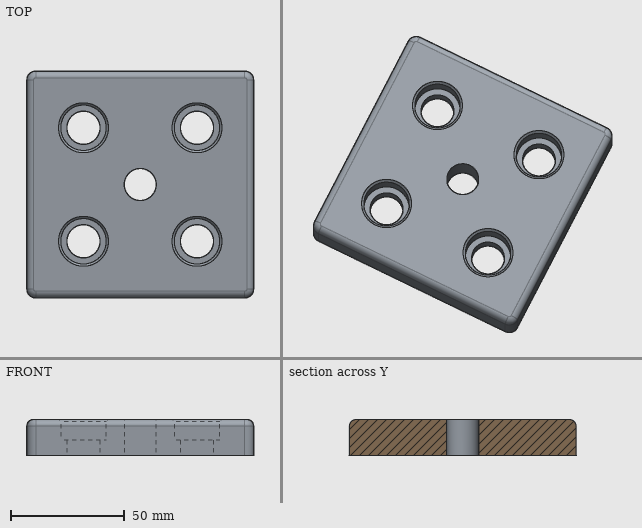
import cadquery as cq

side = 100
thickness = 16
corner_radius = 4
top_edge_radius = 3

center_hole_diameter = 14
bolt_spacing = 50
bolt_hole_diameter = 14.5
counterbore_diameter = 20
counterbore_depth = 9
rim_chamfer = 1


def make_plate():
    """Square plate with rounded corners and a rounded top edge, bottom at Z = 0."""
    plate = cq.Workplane("XY").box(side, side, thickness, centered=(True, True, False))
    plate = plate.edges("|Z").fillet(corner_radius)
    return plate.faces(">Z").edges().fillet(top_edge_radius)


def make_bolt_hole_cutter():
    """Through hole with a counterbore and chamfered rim, revolved about Z."""
    hole_radius = bolt_hole_diameter / 2
    counterbore_radius = counterbore_diameter / 2
    counterbore_floor = thickness - counterbore_depth
    return (
        cq.Workplane("XZ")
        .lineTo(hole_radius, 0)
        .lineTo(hole_radius, counterbore_floor)
        .lineTo(counterbore_radius, counterbore_floor)
        .lineTo(counterbore_radius, thickness - rim_chamfer)
        .lineTo(counterbore_radius + rim_chamfer, thickness)
        .lineTo(0, thickness)
        .close()
        .revolve(360, (0, 0), (0, 1))
    )


result = make_plate()
result = result.faces(">Z").workplane().hole(center_hole_diameter)

bolt_hole_cutter = make_bolt_hole_cutter()
for x in (-bolt_spacing / 2, bolt_spacing / 2):
    for y in (-bolt_spacing / 2, bolt_spacing / 2):
        result = result.cut(bolt_hole_cutter.translate((x, y, 0)))